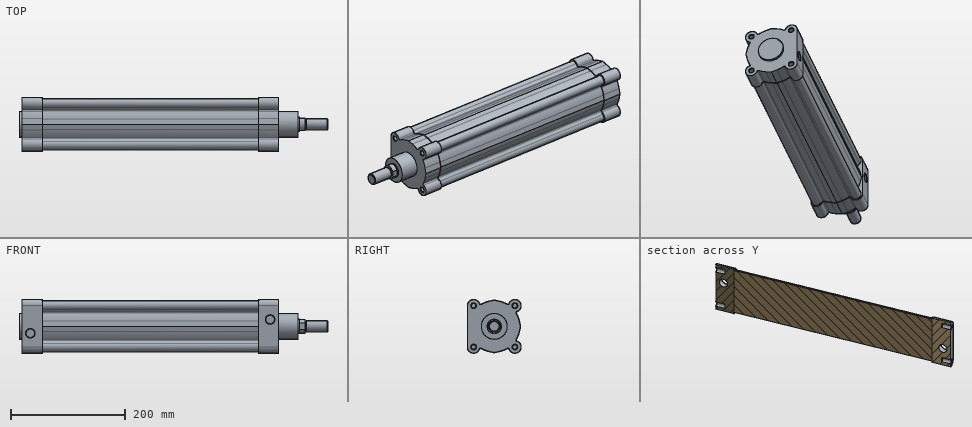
import cadquery as cq
import math


rear_boss_length = 4.0
rear_cap_length = 36.0
stroke = 320.0
body_length = 128.0 + stroke
front_cap_length = 35.0
bush_length = 34.0
rod_shoulder_distance = 46.0
thread_length = 40.0

rear_face_x = rear_boss_length
barrel_start_x = rear_face_x + rear_cap_length
front_face_x = rear_face_x + body_length
barrel_end_x = front_face_x - front_cap_length
rod_shoulder_x = front_face_x + rod_shoulder_distance

cap_width = 94.0
screw_spacing = 72.0
screw_offset = screw_spacing / 2
corner_distance = screw_offset * math.sqrt(2)
lobe_radius = cap_width / 2 - screw_offset
cap_radius = 45.0
cap_notch_fillet = 2.0
barrel_radius = 44.0
tube_radius = 8.5
web_flare = 5.0
web_joint_angle = 77.0
barrel_notch_fillet = 1.5
cap_ridge_angle = 13.0
barrel_ridge_angle = 12.0

boss_diameter = 45.0
screw_hole_diameter = 8.0
screw_hole_depth = 17.0
screw_countersink_diameter = 10.0
countersink_angle = 90.0
port_diameter = 15.0
port_countersink_diameter = 16.6
port_depth = 15.0
port_offset = 12.0
port_face_distance = 15.0

rod_diameter = 25.0
rod_nose_diameter = 24.6
flats_across = 22.0
flats_length = 10.0
thread_diameter = 20.0
thread_chamfer = 1.5
neck_diameter = 17.0
neck_length = 1.0

diagonals = [45.0, 135.0, 225.0, 315.0]
screw_points = [(y, z) for y in (-screw_offset, screw_offset) for z in (-screw_offset, screw_offset)]


def polar(radius, angle):
    """Point (y, z) at a radius from the axis and an angle in degrees from +Y."""
    return radius * math.cos(math.radians(angle)), radius * math.sin(math.radians(angle))


def cross_section(x):
    return cq.Workplane("YZ", origin=(x, 0, 0))


def ridged_round(x, length, radius, ridge_angle, ridge_directions):
    """Round bar with shallow ridges, each made of two flats tangent to the round."""
    bar = cross_section(x).circle(radius).extrude(length)
    ridge_radius = radius / math.cos(math.radians(ridge_angle))
    for direction in ridge_directions:
        outline = [
            (0, 0),
            polar(radius, direction - ridge_angle),
            polar(ridge_radius, direction),
            polar(radius, direction + ridge_angle),
        ]
        bar = bar.union(cross_section(x).polyline(outline).close().extrude(length))
    return bar


def fillet_notches(body, x, length, radius, notch_angles, fillet):
    """Round the lengthwise inner edges that lie on the round at the given angles."""
    edges = []
    for angle in notch_angles:
        y, z = polar(radius, angle)
        middle = (x + length / 2, y, z)
        edges += body.edges("|X").edges(cq.NearestToPointSelector(middle)).vals()
    return body.newObject(edges).fillet(fillet)


def make_cap(x, length):
    """Cap with four screw lobes, ridges on three sides and a flat side at -Y."""
    cap = ridged_round(x, length, cap_radius, cap_ridge_angle, [0.0, 90.0, 270.0])
    cap = cap.union(cross_section(x).pushPoints(screw_points).circle(lobe_radius).extrude(length))
    flat_side = (
        cross_section(x)
        .center(-cap_width / 4, 0)
        .rect(cap_width / 2, screw_spacing)
        .extrude(length)
    )
    cap = cap.union(flat_side)
    notch_spread = math.degrees(math.acos(
        (cap_radius**2 + corner_distance**2 - lobe_radius**2) / (2 * cap_radius * corner_distance)
    ))
    notches = [angle + side * notch_spread for angle in diagonals for side in (-1, 1)]
    notches = [angle for angle in notches if not diagonals[1] < angle < diagonals[2]]
    return fillet_notches(cap, x, length, cap_radius, notches, cap_notch_fillet)


def drill_screw_holes(cap, face):
    return (
        cap.faces(face)
        .workplane(origin=(0, 0, 0))
        .pushPoints(screw_points)
        .cskHole(screw_hole_diameter, screw_countersink_diameter, countersink_angle, screw_hole_depth)
    )


def drill_port(cap, x, z):
    """Blind countersunk air port in the flat side."""
    return (
        cap.copyWorkplane(cq.Workplane("XZ", origin=(x, -cap_width / 2, z)))
        .cskHole(port_diameter, port_countersink_diameter, countersink_angle, port_depth)
    )


def make_rear_cap():
    cap = drill_screw_holes(make_cap(rear_face_x, rear_cap_length), "<X")
    cap = drill_port(cap, rear_face_x + port_face_distance, -port_offset)
    boss = cross_section(0).circle(boss_diameter / 2).extrude(rear_boss_length)
    return cap.union(boss)


def make_front_cap():
    cap = drill_screw_holes(make_cap(barrel_end_x, front_cap_length), ">X")
    cap = drill_port(cap, front_face_x - port_face_distance, port_offset)
    bush = cross_section(front_face_x).circle(boss_diameter / 2).extrude(bush_length)
    rod_bore = (
        cross_section(barrel_end_x)
        .circle(rod_diameter / 2)
        .extrude(front_cap_length + bush_length)
    )
    return cap.union(bush).cut(rod_bore)


def make_barrel():
    """Barrel profile with a tie-rod tube on a flared web at each corner."""
    length = barrel_end_x - barrel_start_x
    ridge_directions = [0.0, 90.0, 180.0, 270.0]
    barrel = ridged_round(barrel_start_x, length, barrel_radius, barrel_ridge_angle, ridge_directions)
    joint_along, joint_across = polar(tube_radius, web_joint_angle)
    joint_along += corner_distance
    joint_radius = math.hypot(joint_along, joint_across)
    joint_spread = math.degrees(math.atan2(joint_across, joint_along))
    face_normal = 90.0 - web_flare
    face_distance = joint_radius * math.cos(math.radians(face_normal - joint_spread))
    web_spread = face_normal - math.degrees(math.acos(face_distance / barrel_radius))
    for angle in diagonals:
        web = [
            (0, 0),
            polar(barrel_radius, angle - web_spread),
            polar(joint_radius, angle - joint_spread),
            polar(joint_radius, angle + joint_spread),
            polar(barrel_radius, angle + web_spread),
        ]
        barrel = barrel.union(cross_section(barrel_start_x).polyline(web).close().extrude(length))
    tubes = cross_section(barrel_start_x).pushPoints(screw_points).circle(tube_radius).extrude(length)
    barrel = barrel.union(tubes)
    notches = [angle + side * web_spread for angle in diagonals for side in (-1, 1)]
    return fillet_notches(barrel, barrel_start_x, length, barrel_radius, notches, barrel_notch_fillet)


def make_piston_rod():
    """Rod with wrench flats and a threaded end, reaching back to the barrel."""
    nose_start_x = rod_shoulder_x - flats_length
    rod = cross_section(barrel_end_x).circle(rod_diameter / 2).extrude(nose_start_x - barrel_end_x)
    nose = cross_section(nose_start_x).circle(rod_nose_diameter / 2).extrude(flats_length)
    for side in (-1, 1):
        flat_cut = cq.Workplane().box(flats_length, rod_diameter, rod_diameter).translate(
            (rod_shoulder_x - flats_length / 2, side * (flats_across + rod_diameter) / 2, 0)
        )
        nose = nose.cut(flat_cut)
    neck = cross_section(rod_shoulder_x).circle(neck_diameter / 2).extrude(neck_length)
    thread = (
        cross_section(rod_shoulder_x + neck_length)
        .circle(thread_diameter / 2)
        .extrude(thread_length - neck_length)
        .faces("<X or >X")
        .chamfer(thread_chamfer)
    )
    return rod.union(nose).union(neck).union(thread)


rear_cap = make_rear_cap()
barrel = make_barrel()
front_cap = make_front_cap()
piston_rod = make_piston_rod()

result = cq.Compound.makeCompound([rear_cap.val(), barrel.val(), front_cap.val(), piston_rod.val()])